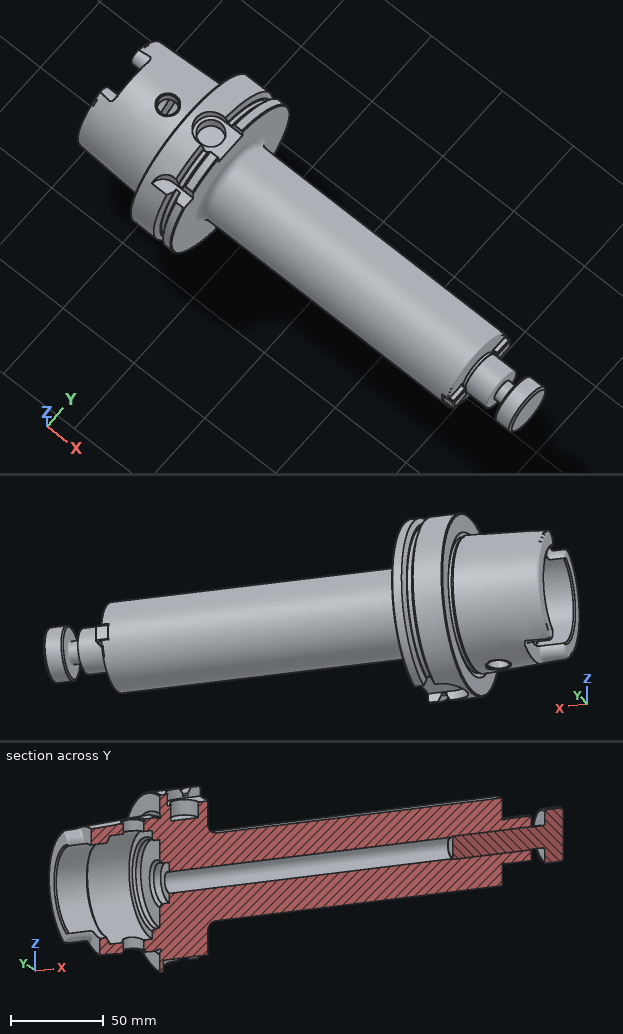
import cadquery as cq
import math


TAPER_LENGTH = 50.0
TAPER_BASE_RADIUS = 38.0
TAPER_SLOPE = 1 / 20
TAPER_TIP_FILLET = 1.7
UNDERCUT_LENGTH = 2.0
UNDERCUT_RADIUS = 37.0
FACE_RELIEF_RADIUS = 39.5
FACE_RELIEF_DEPTH = 1.0
TIP_X = -TAPER_LENGTH
TAPER_TIP_RADIUS = TAPER_BASE_RADIUS - TAPER_LENGTH * TAPER_SLOPE

CAVITY_RADIUS = 53.0 / 2
CAVITY_MOUTH_CHAMFER = 1.0
CAVITY_STRAIGHT_DEPTH = 18.8
CHAMBER_RADIUS = 30.5
CHAMBER_SHOULDER_ANGLE = 60
CHAMBER_END_X = -4.3
SEAT_MOUTH_RADIUS = 26.0
SEAT_RADIUS = 24.5
CAVITY_FLOOR_X = 0.0
COUNTERBORE_MOUTH_RADIUS = 26.0 / 2
COUNTERBORE_RADIUS = 22.5 / 2
COUNTERBORE_DEPTH = 5.8
CENTRE_BORE_RADIUS = 12.0 / 2

DRIVE_SLOT_WIDTH = 19.5
DRIVE_SLOT_LIP_RADIUS = 5.5
DRIVE_SLOT_LIP_HEIGHT = 31.5
DRIVE_SLOT_ROOT_FILLET = 1.7
UPPER_DRIVE_SLOT_DEPTH = 9.5
LOWER_DRIVE_SLOT_DEPTH = 14.7

RADIAL_HOLE_DIAMETER = 12.0
RADIAL_HOLE_MOUTH_DIAMETER = 13.5
RADIAL_HOLE_X = -15.3

FLANGE_RADIUS = 100.0 / 2
FLANGE_WIDTH = 29.0
FLANGE_CHAMFER = 0.5
GROOVE_X = 20.0
GROOVE_FLOOR_RADIUS = 45.7
GROOVE_FLOOR_WIDTH = 3.0
GROOVE_FLANK_DEPTH = 3.2
GROOVE_FLANK_ANGLE = 30
GROOVE_HALF_MOUTH = GROOVE_FLOOR_WIDTH / 2 + GROOVE_FLANK_DEPTH * math.tan(
    math.radians(GROOVE_FLANK_ANGLE)
)

CUTOUT_END_X = 15.0
UPPER_KEYWAY_WIDTH = 20.2
LOWER_KEYWAY_WIDTH = 25.0
KEYWAY_FLOOR_HEIGHT = 43.5
POCKET_DIAMETER = 16.0
POCKET_DEPTH = 8.7
NOTCH_CORNER = 31.2
NOTCH_END_RADIUS = 18.0 / 2

BODY_RADIUS = 49.7 / 2
BODY_FILLET = 5.0
SHOULDER_X = 203.0
SHOULDER_FILLET = 1.0
PILOT_RADIUS = 25.5 / 2
PILOT_RELIEF_RADIUS = 25.0 / 2
PILOT_RELIEF_WIDTH = 1.7
PILOT_END_X = 220.5
PILOT_FILLET = 1.0

KEY_WIDTH = 9.3
KEY_BACK_X = 198.7
KEY_FRONT_X = 206.5
KEY_INNER_Y = PILOT_RADIUS
KEY_OUTER_Y = 24.0
KEY_CHAMFER = 0.72

SHANK_RADIUS = 12.7 / 2
SHANK_START_X = 173.5
HEAD_RADIUS = 30.5 / 2
HEAD_BACK_X = 228.0
HEAD_FRONT_X = 239.2
HEAD_BACK_CHAMFER = 1.0
HEAD_FRONT_CHAMFER = 1.2
HEAD_FILLET = 1.0


def x_cylinder(radius, start_x, end_x):
    return cq.Workplane("YZ", origin=(start_x, 0, 0)).circle(radius).extrude(end_x - start_x)


def taper_and_flange():
    """Turned outside of the taper and flange, up to the start of the plain body."""
    fillet_centre = (FLANGE_WIDTH + BODY_FILLET, BODY_RADIUS + BODY_FILLET)
    fillet_middle = (
        fillet_centre[0] - BODY_FILLET * math.sqrt(0.5),
        fillet_centre[1] - BODY_FILLET * math.sqrt(0.5),
    )
    undercut_start_radius = TAPER_BASE_RADIUS - UNDERCUT_LENGTH * TAPER_SLOPE
    return (
        cq.Workplane("XY")
        .moveTo(TIP_X, 0)
        .lineTo(TIP_X, TAPER_TIP_RADIUS)
        .lineTo(-UNDERCUT_LENGTH, undercut_start_radius)
        .lineTo(-FACE_RELIEF_DEPTH, UNDERCUT_RADIUS)
        .lineTo(FACE_RELIEF_DEPTH, UNDERCUT_RADIUS)
        .lineTo(0, FACE_RELIEF_RADIUS)
        .lineTo(0, FLANGE_RADIUS - FLANGE_CHAMFER)
        .lineTo(FLANGE_CHAMFER, FLANGE_RADIUS)
        .lineTo(GROOVE_X - GROOVE_HALF_MOUTH, FLANGE_RADIUS)
        .lineTo(GROOVE_X - GROOVE_FLOOR_WIDTH / 2, FLANGE_RADIUS - GROOVE_FLANK_DEPTH)
        .lineTo(GROOVE_X - GROOVE_FLOOR_WIDTH / 2, GROOVE_FLOOR_RADIUS)
        .lineTo(GROOVE_X + GROOVE_FLOOR_WIDTH / 2, GROOVE_FLOOR_RADIUS)
        .lineTo(GROOVE_X + GROOVE_FLOOR_WIDTH / 2, FLANGE_RADIUS - GROOVE_FLANK_DEPTH)
        .lineTo(GROOVE_X + GROOVE_HALF_MOUTH, FLANGE_RADIUS)
        .lineTo(FLANGE_WIDTH - FLANGE_CHAMFER, FLANGE_RADIUS)
        .lineTo(FLANGE_WIDTH, FLANGE_RADIUS - FLANGE_CHAMFER)
        .lineTo(FLANGE_WIDTH, fillet_centre[1])
        .threePointArc(fillet_middle, (fillet_centre[0], BODY_RADIUS))
        .lineTo(fillet_centre[0], 0)
        .close()
        .revolve(360, (0, 0, 0), (1, 0, 0))
    )


def body_and_pilot():
    body = x_cylinder(BODY_RADIUS, FLANGE_WIDTH, SHOULDER_X).faces(">X").edges().fillet(SHOULDER_FILLET)
    relief_end_x = SHOULDER_X + PILOT_RELIEF_WIDTH
    relief = x_cylinder(PILOT_RELIEF_RADIUS, SHOULDER_X, relief_end_x)
    pilot = x_cylinder(PILOT_RADIUS, relief_end_x, PILOT_END_X).faces(">X").edges().fillet(PILOT_FILLET)
    return body.union(relief).union(pilot)


def holder_bore():
    """Turned tool for the taper cavity, its chamber and seat, the centre bores and the screw hole."""
    shoulder_length = (CHAMBER_RADIUS - CAVITY_RADIUS) / math.tan(math.radians(CHAMBER_SHOULDER_ANGLE))
    seat_chamfer = SEAT_MOUTH_RADIUS - SEAT_RADIUS
    counterbore_chamfer = COUNTERBORE_MOUTH_RADIUS - COUNTERBORE_RADIUS
    return (
        cq.Workplane("XY")
        .moveTo(TIP_X, 0)
        .lineTo(TIP_X, CAVITY_RADIUS + CAVITY_MOUTH_CHAMFER)
        .lineTo(TIP_X + CAVITY_MOUTH_CHAMFER, CAVITY_RADIUS)
        .lineTo(TIP_X + CAVITY_STRAIGHT_DEPTH, CAVITY_RADIUS)
        .lineTo(TIP_X + CAVITY_STRAIGHT_DEPTH + shoulder_length, CHAMBER_RADIUS)
        .lineTo(CHAMBER_END_X, CHAMBER_RADIUS)
        .lineTo(CHAMBER_END_X, SEAT_MOUTH_RADIUS)
        .lineTo(CHAMBER_END_X + seat_chamfer, SEAT_RADIUS)
        .lineTo(CAVITY_FLOOR_X, SEAT_RADIUS)
        .lineTo(CAVITY_FLOOR_X, COUNTERBORE_MOUTH_RADIUS)
        .lineTo(CAVITY_FLOOR_X + counterbore_chamfer, COUNTERBORE_RADIUS)
        .lineTo(CAVITY_FLOOR_X + COUNTERBORE_DEPTH, COUNTERBORE_RADIUS)
        .lineTo(CAVITY_FLOOR_X + COUNTERBORE_DEPTH, CENTRE_BORE_RADIUS)
        .lineTo(SHANK_START_X, CENTRE_BORE_RADIUS)
        .lineTo(SHANK_START_X, SHANK_RADIUS)
        .lineTo(PILOT_END_X, SHANK_RADIUS)
        .lineTo(PILOT_END_X, 0)
        .close()
        .revolve(360, (0, 0, 0), (1, 0, 0))
    )


def drive_slot(depth):
    """Tool for the upper drive slot: its straight walls turn outwards over rounded lips."""
    half_width = DRIVE_SLOT_WIDTH / 2
    lip_y = half_width + DRIVE_SLOT_LIP_RADIUS
    lip_start_z = DRIVE_SLOT_LIP_HEIGHT - DRIVE_SLOT_LIP_RADIUS
    lip_middle_y = lip_y - DRIVE_SLOT_LIP_RADIUS * math.sqrt(0.5)
    lip_middle_z = lip_start_z + DRIVE_SLOT_LIP_RADIUS * math.sqrt(0.5)
    return (
        cq.Workplane("YZ", origin=(TIP_X, 0, 0))
        .moveTo(-half_width, 0)
        .lineTo(half_width, 0)
        .lineTo(half_width, lip_start_z)
        .threePointArc((lip_middle_y, lip_middle_z), (lip_y, DRIVE_SLOT_LIP_HEIGHT))
        .lineTo(FLANGE_RADIUS, DRIVE_SLOT_LIP_HEIGHT)
        .lineTo(FLANGE_RADIUS, FLANGE_RADIUS)
        .lineTo(-FLANGE_RADIUS, FLANGE_RADIUS)
        .lineTo(-FLANGE_RADIUS, DRIVE_SLOT_LIP_HEIGHT)
        .lineTo(-lip_y, DRIVE_SLOT_LIP_HEIGHT)
        .threePointArc((-lip_middle_y, lip_middle_z), (-half_width, lip_start_z))
        .close()
        .extrude(depth)
        .faces(">X")
        .edges()
        .fillet(DRIVE_SLOT_ROOT_FILLET)
    )


def flange_cutout(centre_y, end_radius, floor_z):
    """Slot milled from above: round at CUTOUT_END_X, open at the back of the flange."""
    height = FLANGE_RADIUS - floor_z
    plane = cq.Workplane("XY", origin=(CUTOUT_END_X, centre_y, floor_z))
    run_out = plane.box(
        FLANGE_WIDTH - CUTOUT_END_X, 2 * end_radius, height, centered=(False, True, False)
    )
    return plane.circle(end_radius).extrude(height).union(run_out)


def mirrored_below(tool):
    return tool.rotate((0, 0, 0), (1, 0, 0), 180)


def flange_pocket():
    floor_z = KEYWAY_FLOOR_HEIGHT - POCKET_DEPTH
    plane = cq.Workplane("XY", origin=(CUTOUT_END_X, 0, floor_z))
    return plane.circle(POCKET_DIAMETER / 2).extrude(POCKET_DEPTH)


def radial_holes():
    """One hole through each wall of the taper, with a shallow counterbore at the outside."""
    outer_radius = TAPER_BASE_RADIUS + RADIAL_HOLE_X * TAPER_SLOPE
    mouth_depth = (RADIAL_HOLE_MOUTH_DIAMETER - RADIAL_HOLE_DIAMETER) / 2
    axis = cq.Workplane("XY", origin=(RADIAL_HOLE_X, 0, 0))
    hole = axis.circle(RADIAL_HOLE_DIAMETER / 2).extrude(FLANGE_RADIUS)
    mouth = cq.Workplane("XY", origin=(RADIAL_HOLE_X, 0, outer_radius - mouth_depth))
    hole = hole.union(mouth.circle(RADIAL_HOLE_MOUTH_DIAMETER / 2).extrude(FLANGE_RADIUS - outer_radius))
    return [hole, mirrored_below(hole)]


def key_seat(side):
    """Seat for one key, open at the shoulder and at the outside of the body."""
    length = SHOULDER_X - KEY_BACK_X
    height = BODY_RADIUS - KEY_INNER_Y
    centre = (KEY_BACK_X + length / 2, side * (KEY_INNER_Y + height / 2), 0)
    return cq.Workplane("XY", origin=centre).box(length, height, KEY_WIDTH)


def make_holder():
    holder = taper_and_flange().union(body_and_pilot())
    holder = holder.cut(drive_slot(UPPER_DRIVE_SLOT_DEPTH))
    holder = holder.cut(mirrored_below(drive_slot(LOWER_DRIVE_SLOT_DEPTH)))
    holder = holder.faces("<X").edges().fillet(TAPER_TIP_FILLET)
    holder = holder.cut(holder_bore())
    for hole in radial_holes():
        holder = holder.cut(hole)
    holder = holder.cut(flange_cutout(0, UPPER_KEYWAY_WIDTH / 2, KEYWAY_FLOOR_HEIGHT))
    holder = holder.cut(mirrored_below(flange_cutout(0, LOWER_KEYWAY_WIDTH / 2, KEYWAY_FLOOR_HEIGHT)))
    holder = holder.cut(flange_cutout(-NOTCH_CORNER - NOTCH_END_RADIUS, NOTCH_END_RADIUS, NOTCH_CORNER))
    holder = holder.cut(flange_pocket())
    for side in (-1, 1):
        holder = holder.cut(key_seat(side))
    return holder


def make_key(side):
    length = KEY_FRONT_X - KEY_BACK_X
    height = KEY_OUTER_Y - KEY_INNER_Y
    centre = (KEY_BACK_X + length / 2, side * (KEY_INNER_Y + height / 2), 0)
    return cq.Workplane("XY", origin=centre).box(length, height, KEY_WIDTH).edges().chamfer(KEY_CHAMFER)


def make_screw():
    head = x_cylinder(HEAD_RADIUS, HEAD_BACK_X, HEAD_FRONT_X)
    head = head.faces("<X").chamfer(HEAD_BACK_CHAMFER)
    head = head.faces(">X").chamfer(HEAD_FRONT_CHAMFER)
    screw = head.union(x_cylinder(SHANK_RADIUS, SHANK_START_X, HEAD_BACK_X))
    return screw.edges(cq.selectors.NearestToPointSelector((HEAD_BACK_X, 0, 0))).fillet(HEAD_FILLET)


holder = make_holder()
screw = make_screw()
keys = [make_key(side) for side in (-1, 1)]

result = cq.Compound.makeCompound([holder.val(), screw.val(), *[key.val() for key in keys]])